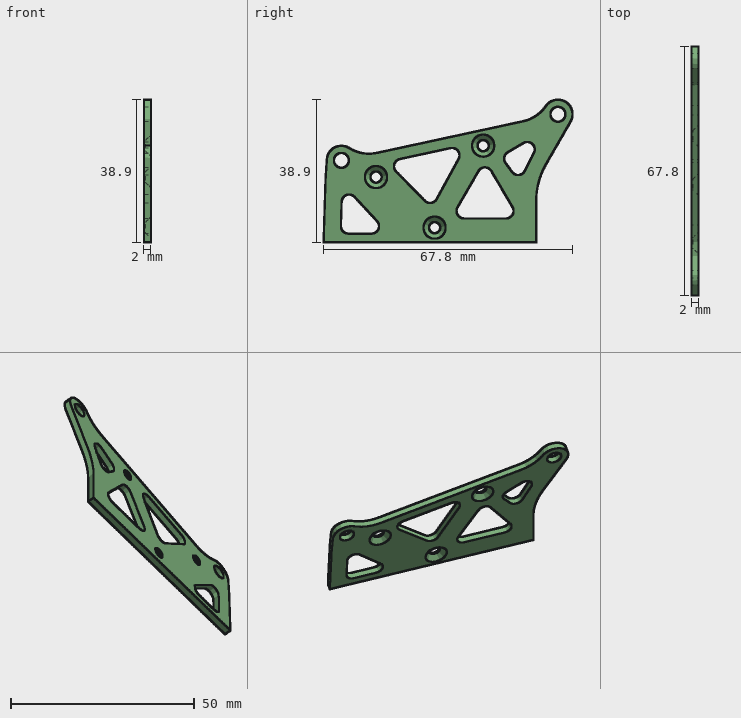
import cadquery as cq
import math

THICKNESS = 2.0
BASE_LENGTH = 57.9

EAR_RADIUS = 4.0
EAR_HOLE_DIAMETER = 4.0
FRONT_EAR = (4.9, 22.3)
REAR_EAR = (63.8, 34.85)

TOP_EDGE_POINT = (14.4, 24.35)
TOP_EDGE_ANGLE = math.radians(12.2)
EAR_BLEND_RADIUS = 10.05

FRONT_EDGE_BEND = (0.55, 17.35)

REAR_LEAN = math.radians(30)
REAR_BEND_RADIUS = 20.0

SMALL_HOLE_DIAMETER = 3.0
COUNTERSINK_DIAMETER = 6.05
COUNTERSINK_ANGLE = 90
SMALL_HOLES = [(43.45, 26.3), (14.3, 17.75), (30.25, 4.0)]

WINDOW_CORNER_RADIUS = 2.0
WINDOWS = [
    [(55.45, 25.3), (51.2, 22.8), (52.95, 20.35)],
    [(49.7, 8.55), (38.25, 8.55), (43.95, 18.4)],
    [(35.0, 23.65), (21.2, 20.7), (29.0, 12.75)],
    [(13.1, 4.4), (6.8, 4.4), (7.0, 11.0)],
]


def polar(center, radius, angle):
    """Point at a distance and direction from a centre."""
    return (center[0] + radius * math.cos(angle), center[1] + radius * math.sin(angle))


def ear_blend(ear, side):
    """Points (on ear, mid-arc, on top edge) of the blend; side is +1 toward +Y from the ear."""
    along = (math.cos(TOP_EDGE_ANGLE), math.sin(TOP_EDGE_ANGLE))
    normal_angle = TOP_EDGE_ANGLE + math.pi / 2
    dy = ear[0] - TOP_EDGE_POINT[0]
    dz = ear[1] - TOP_EDGE_POINT[1]
    ear_along = dy * along[0] + dz * along[1]
    ear_height = dz * along[0] - dy * along[1]
    reach = math.sqrt((EAR_RADIUS + EAR_BLEND_RADIUS) ** 2 - (EAR_BLEND_RADIUS - ear_height) ** 2)
    on_edge = polar(TOP_EDGE_POINT, ear_along + side * reach, TOP_EDGE_ANGLE)
    center = polar(on_edge, EAR_BLEND_RADIUS, normal_angle)
    ear_angle = math.atan2(center[1] - ear[1], center[0] - ear[0])
    on_ear = polar(ear, EAR_RADIUS, ear_angle)
    chord_mid = ((on_ear[0] + on_edge[0]) / 2, (on_ear[1] + on_edge[1]) / 2)
    mid_angle = math.atan2(chord_mid[1] - center[1], chord_mid[0] - center[0])
    return on_ear, polar(center, EAR_BLEND_RADIUS, mid_angle), on_edge


def plate_outline():
    """Closed outer profile, extruded to the plate thickness."""
    front_on_ear, front_mid, front_on_edge = ear_blend(FRONT_EAR, 1)
    rear_on_ear, rear_mid, rear_on_edge = ear_blend(REAR_EAR, -1)

    dy = FRONT_EAR[0] - FRONT_EDGE_BEND[0]
    dz = FRONT_EAR[1] - FRONT_EDGE_BEND[1]
    front_angle = math.atan2(dz, dy) + math.asin(EAR_RADIUS / math.hypot(dy, dz))
    front_tangent = polar(FRONT_EAR, EAR_RADIUS, front_angle + math.pi / 2)
    front_ear_top = polar(FRONT_EAR, EAR_RADIUS, math.pi / 2)

    rear_tangent = polar(REAR_EAR, EAR_RADIUS, -REAR_LEAN)
    rear_ear_top = polar(REAR_EAR, EAR_RADIUS, math.pi / 2)
    bend_center_y = BASE_LENGTH + REAR_BEND_RADIUS
    bend_end_y = bend_center_y - REAR_BEND_RADIUS * math.cos(REAR_LEAN)
    bend_end_z = rear_tangent[1] - (rear_tangent[0] - bend_end_y) / math.tan(REAR_LEAN)
    bend_center = (bend_center_y, bend_end_z - REAR_BEND_RADIUS * math.sin(REAR_LEAN))
    bend_mid = polar(bend_center, REAR_BEND_RADIUS, math.pi - REAR_LEAN / 2)

    return (
        cq.Workplane("YZ")
        .moveTo(0, 0)
        .lineTo(*FRONT_EDGE_BEND)
        .lineTo(*front_tangent)
        .threePointArc(front_ear_top, front_on_ear)
        .threePointArc(front_mid, front_on_edge)
        .lineTo(*rear_on_edge)
        .threePointArc(rear_mid, rear_on_ear)
        .threePointArc(rear_ear_top, rear_tangent)
        .lineTo(bend_end_y, bend_end_z)
        .threePointArc(bend_mid, (BASE_LENGTH, bend_center[1]))
        .lineTo(BASE_LENGTH, 0)
        .close()
        .extrude(THICKNESS)
    )


def ear_holes():
    """Plain holes through the two ears."""
    holes = cq.Workplane("YZ").pushPoints([FRONT_EAR, REAR_EAR])
    return holes.circle(EAR_HOLE_DIAMETER / 2).extrude(THICKNESS)


def drill_countersunk_holes(plate):
    """Through holes whose countersinks open on the +X face."""
    outer_face = plate.faces(">X").workplane(origin=(THICKNESS, 0, 0))
    holes = outer_face.pushPoints(SMALL_HOLES)
    return holes.cskHole(SMALL_HOLE_DIAMETER, COUNTERSINK_DIAMETER, COUNTERSINK_ANGLE)


def window(corner_centers):
    """Rounded triangle through the plate thickness."""
    triangle = cq.Workplane("YZ").polyline(corner_centers).close()
    return triangle.offset2D(WINDOW_CORNER_RADIUS).extrude(THICKNESS)


result = plate_outline()
result = result.cut(ear_holes())
result = drill_countersunk_holes(result)
for corner_centers in WINDOWS:
    result = result.cut(window(corner_centers))